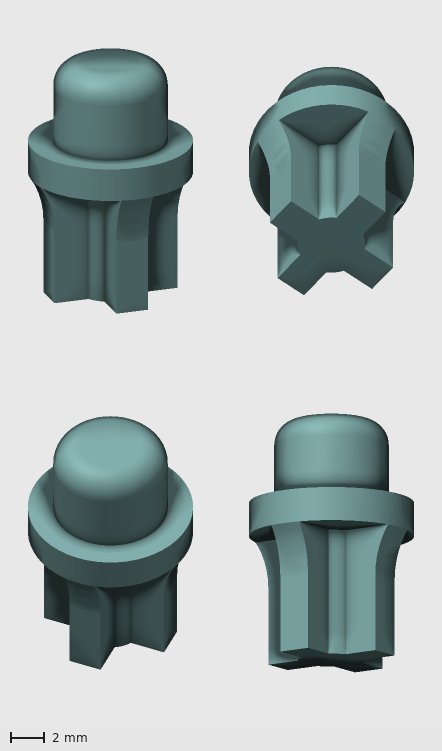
import cadquery as cq
import math

total_height = 14.5
stem_height = 7.5
flange_height = 2.0

flange_diameter = 9.8
button_diameter = 6.8
button_edge_radius = 1.5

rib_span = 7.75
rib_thickness = 2.0
core_diameter = 4.0
flare_radius = 5.0
flare_sections = 5
flare_embed = 0.72

flange_radius = flange_diameter / 2
rib_reach = rib_span / 2
button_height = total_height - stem_height - flange_height


def make_head():
    """Flange disc carrying the button with its rounded top edge."""
    flange = cq.Workplane("XY").workplane(offset=stem_height).circle(flange_radius).extrude(flange_height)
    button = (
        cq.Workplane("XY")
        .workplane(offset=stem_height + flange_height)
        .circle(button_diameter / 2)
        .extrude(button_height)
        .faces(">Z")
        .edges()
        .fillet(button_edge_radius)
    )
    return flange.union(button)


def make_cross():
    """Two crossing ribs around a round core."""
    rib_x = cq.Workplane("XY").rect(rib_span, rib_thickness).extrude(stem_height)
    rib_y = cq.Workplane("XY").rect(rib_thickness, rib_span).extrude(stem_height)
    core = cq.Workplane("XY").circle(core_diameter / 2).extrude(stem_height)
    return rib_x.union(rib_y).union(core)


def flare_section(y):
    """Flare outline at one Y: an arc tangent to the rib end and meeting the flange rim."""
    rim_x = math.sqrt(flange_radius**2 - y**2)
    overhang = rim_x - rib_reach
    sweep_angle = math.acos(1 - overhang / flare_radius)
    foot_z = stem_height - flare_radius * math.sin(sweep_angle)
    arc_middle = cq.Vector(
        rib_reach + flare_radius * (1 - math.cos(sweep_angle / 2)),
        y,
        foot_z + flare_radius * math.sin(sweep_angle / 2),
    )
    foot = cq.Vector(rib_reach, y, foot_z)
    rim = cq.Vector(rim_x, y, stem_height)
    inner_top = cq.Vector(rib_reach - flare_embed, y, stem_height)
    inner_foot = cq.Vector(rib_reach - flare_embed, y, foot_z)
    return cq.Wire.assembleEdges([
        cq.Edge.makeThreePointArc(foot, arc_middle, rim),
        cq.Edge.makeLine(rim, inner_top),
        cq.Edge.makeLine(inner_top, inner_foot),
        cq.Edge.makeLine(inner_foot, foot),
    ])


def make_flare():
    """Flare on the +X rib end, lofted across the rib so its top follows the round rim."""
    spacing = rib_thickness / (flare_sections - 1)
    sections = [flare_section(-rib_thickness / 2 + i * spacing) for i in range(flare_sections)]
    return cq.Workplane("XY").add(cq.Solid.makeLoft(sections))


result = make_head().union(make_cross())
flare = make_flare()
for angle in (0, 90, 180, 270):
    result = result.union(flare.rotate((0, 0, 0), (0, 0, 1), angle))